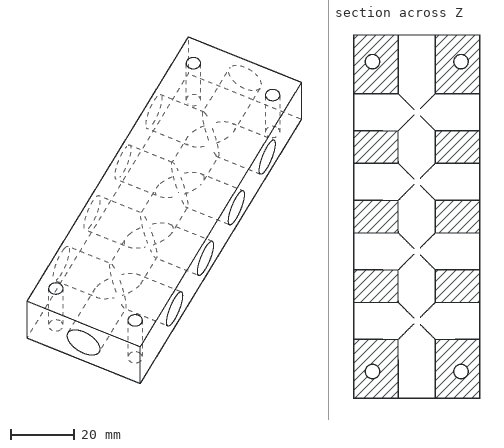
import cadquery as cq

WIDTH = 40.0
LENGTH = 115.0
HEIGHT = 20.0

BORE_DIAMETER = 11.6
PORT_COUNT = 4
PORT_PITCH = 22.0

MOUNT_DIAMETER = 4.5
MOUNT_SPACING_X = 28.0
MOUNT_SPACING_Y = 98.0


def make_block():
    return cq.Workplane("XY").box(WIDTH, LENGTH, HEIGHT)


def make_gallery():
    """Bore running the full length of the block."""
    return cq.Workplane("XZ").circle(BORE_DIAMETER / 2).extrude(LENGTH / 2, both=True)


def make_ports():
    """Row of bores running across the full width of the block."""
    return (
        cq.Workplane("YZ")
        .rarray(PORT_PITCH, 1, PORT_COUNT, 1)
        .circle(BORE_DIAMETER / 2)
        .extrude(WIDTH / 2, both=True)
    )


def make_mounting_holes():
    """Four through holes at the corners of a rectangle."""
    return (
        cq.Workplane("XY")
        .rarray(MOUNT_SPACING_X, MOUNT_SPACING_Y, 2, 2)
        .circle(MOUNT_DIAMETER / 2)
        .extrude(HEIGHT / 2, both=True)
    )


result = make_block().cut(make_gallery()).cut(make_ports()).cut(make_mounting_holes())